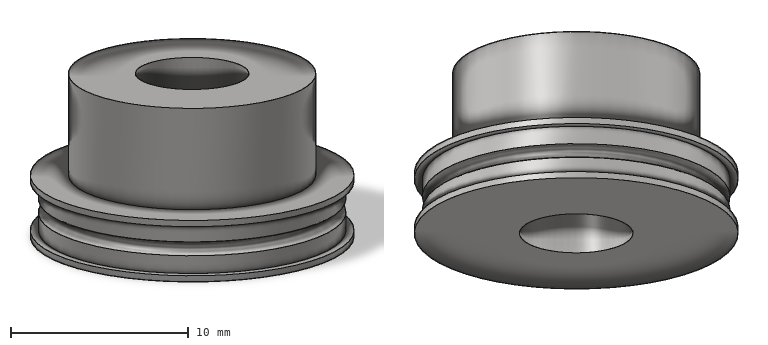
import cadquery as cq

flange_diameter = 18.19
rim_diameter = 17.28
hub_diameter = 13.9
bore_diameter = 6.37
total_height = 9.53
pulley_height = 3.6
flange_thickness = 0.36
groove_radius = 0.4

flange_radius = flange_diameter / 2
rim_radius = rim_diameter / 2
hub_radius = hub_diameter / 2
bore_radius = bore_diameter / 2
groove_height = pulley_height / 2
upper_flange_base = pulley_height - flange_thickness

half_section = (
    cq.Workplane("XZ")
    .moveTo(bore_radius, 0)
    .lineTo(flange_radius, 0)
    .lineTo(flange_radius, flange_thickness)
    .lineTo(rim_radius, flange_thickness)
    .lineTo(rim_radius, groove_height - groove_radius)
    .threePointArc(
        (rim_radius - groove_radius, groove_height),
        (rim_radius, groove_height + groove_radius),
    )
    .lineTo(rim_radius, upper_flange_base)
    .lineTo(flange_radius, upper_flange_base)
    .lineTo(flange_radius, pulley_height)
    .lineTo(hub_radius, pulley_height)
    .lineTo(hub_radius, total_height)
    .lineTo(bore_radius, total_height)
    .close()
)

result = half_section.revolve(360, (0, 0, 0), (0, 1, 0))